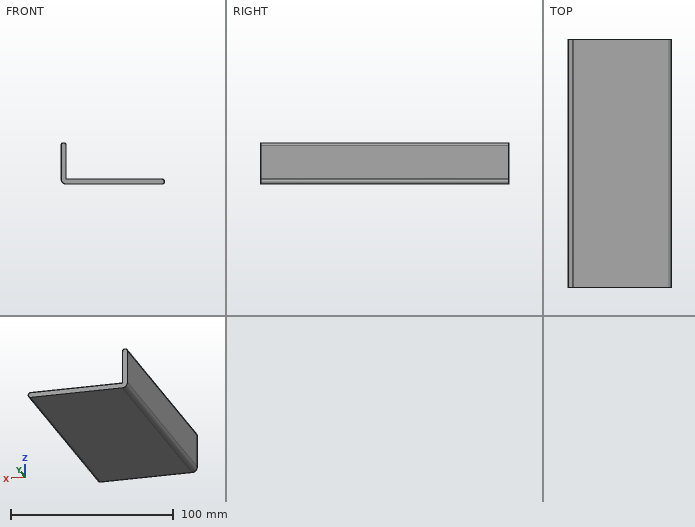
import cadquery as cq

width = 63.5
length = 152.4
height = 25.5

thickness = 3.2
tip_radius = thickness / 2
bend_radius = thickness

profile = (
    cq.Workplane("XZ", origin=(0, length / 2, 0))
    .moveTo(bend_radius, 0)
    .lineTo(width - tip_radius, 0)
    .tangentArcPoint((width - tip_radius, thickness), relative=False)
    .lineTo(thickness, thickness)
    .lineTo(thickness, height - tip_radius)
    .tangentArcPoint((0, height - tip_radius), relative=False)
    .lineTo(0, bend_radius)
    .tangentArcPoint((bend_radius, 0), relative=False)
    .close()
)

result = profile.extrude(length)